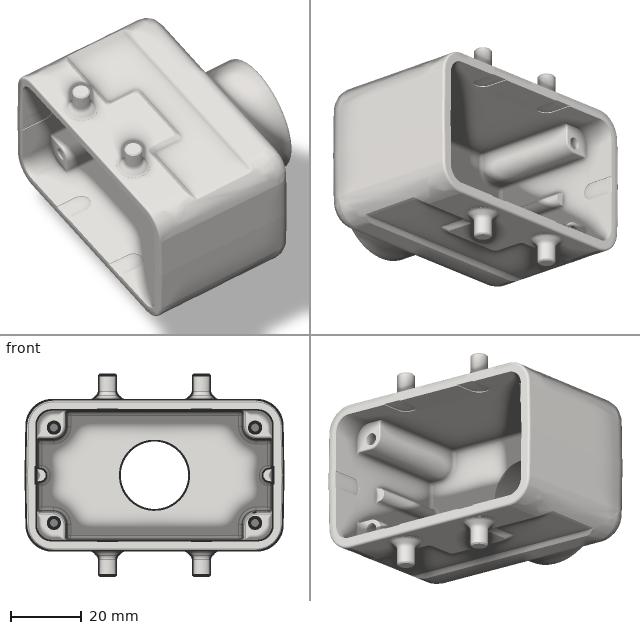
import cadquery as cq
import math


total_length = 58.0
body_length = 45.0
body_width = 73.0
side_crest_rise = 0.25
mouth_height = 42.7
back_height = 42.2
body_corner_radius = 7.5
back_edge_radius = 4.7
mouth_edge_radius = 0.6

hub_diameter = 34.0
hub_bore_diameter = 19.5
hub_end_radius = 1.0
hub_root_radius = 0.8

mouth_cavity_half_width = 33.45
mouth_cavity_half_height = 18.45
mouth_cavity_corner_radius = 4.5
post_face_y = 9.5
floor_y = 42.0
floor_cavity_half_width = 32.8
floor_cavity_half_height = 17.9
floor_radius = 1.0
wall_joint_radius = 0.8
floor_overlap = 1.0

post_arc_x = 28.65
post_arc_z = 13.9
post_face_radius = 3.4
post_root_radius = 4.0
post_edge_radius = 0.4
screw_x = 28.4
screw_z = 13.45
screw_mouth_diameter = 3.5
screw_end_diameter = 2.7
screw_depth = 10.0

rib_face_y = 18.0
rib_radius = 1.9
rib_tip_x = 30.5

panel_floor_z = 20.1
panel_flat_half_width = 31.8
panel_lip_half_width = 33.05
panel_lip_z = 19.95
panel_back_floor_y = 33.4
panel_front_floor_y = 14.6
tongue_half_width = 11.65
tongue_end_floor_y = 24.6
panel_slope_run = 1.75
panel_corner_radius = 1.3

pin_x = 13.25
pin_y = 6.3
pin_tip_z = 28.5
pin_radius = 2.5
pin_tip_chamfer = 0.4
collar_base_radius = 4.7
collar_wall_blend_radius = 1.15
collar_pin_blend_radius = 1.6
pin_root_z = 20.5

pin_slot_width = 5.6
pin_slot_depth = 0.2
side_slot_width = 4.9
side_slot_end_y = 10.4
side_slot_depth = 0.2

cut_clearance = 0.5
pick_margin = 0.1


def section_at(y):
    """Workplane across the part at depth y; its local axes are X and Z."""
    return cq.Workplane("XZ", origin=(0, y, 0))


def body_outline(y, height):
    """Rounded outline whose left and right sides peak slightly at Z = 0."""
    crest = body_width / 2
    side = crest - side_crest_rise
    half_height = height / 2
    corner_x = side - body_corner_radius
    corner_z = half_height - body_corner_radius
    diagonal = body_corner_radius * math.sqrt(0.5)
    mid_x = corner_x + diagonal
    mid_z = corner_z + diagonal
    return (
        section_at(y)
        .moveTo(crest, 0)
        .lineTo(side, corner_z)
        .threePointArc((mid_x, mid_z), (corner_x, half_height))
        .lineTo(-corner_x, half_height)
        .threePointArc((-mid_x, mid_z), (-side, corner_z))
        .lineTo(-crest, 0)
        .lineTo(-side, -corner_z)
        .threePointArc((-mid_x, -mid_z), (-corner_x, -half_height))
        .lineTo(corner_x, -half_height)
        .threePointArc((mid_x, -mid_z), (side, -corner_z))
        .close()
        .wire()
        .val()
    )


def ruled_loft(first_wire, last_wire):
    return cq.Workplane(cq.Solid.makeLoft([first_wire, last_wire], True))


def rectangle_wire(y, half_width, half_height):
    return section_at(y).rect(2 * half_width, 2 * half_height).wire().val()


def mirror_four_ways(solid):
    """The solid and its mirror images in X and in Z."""
    pair = solid.union(solid.mirror("YZ"))
    return pair.union(pair.mirror("XY"))


def make_body():
    body = ruled_loft(body_outline(0, mouth_height), body_outline(body_length, back_height))
    body = body.faces(">Y").edges().fillet(back_edge_radius)
    return body.faces("<Y").edges().fillet(mouth_edge_radius)


def add_hub(body):
    """Cylinder on the back wall with a rounded end and a filleted root."""
    hub = section_at(floor_y).circle(hub_diameter / 2).extrude(floor_y - total_length)
    hub = hub.faces(">Y").edges().fillet(hub_end_radius)
    reach = hub_diameter / 2 + pick_margin
    root_edges = cq.selectors.BoxSelector(
        (-reach, body_length - pick_margin, -reach),
        (reach, body_length + pick_margin, reach),
        boundingbox=True,
    )
    return body.union(hub).edges(root_edges).fillet(hub_root_radius)


def panel_outline(z):
    """Outline of the recess at height z; the walls lean outward going up."""
    lean = panel_slope_run / (mouth_height / 2 - panel_floor_z)
    grow = (z - panel_floor_z) * lean
    side = body_width / 2 + panel_slope_run
    back = panel_back_floor_y + grow
    front = panel_front_floor_y - grow
    tongue_side = tongue_half_width - grow
    tongue_end = tongue_end_floor_y - grow
    outline = cq.Sketch().polygon([
        (-side, back),
        (side, back),
        (side, front),
        (tongue_side, front),
        (tongue_side, tongue_end),
        (-tongue_side, tongue_end),
        (-tongue_side, front),
        (-side, front),
        (-side, back),
    ])
    tongue_corners = cq.selectors.BoxSelector(
        (-side / 2, 0, -pick_margin),
        (side / 2, body_length, pick_margin),
    )
    outline = outline.vertices(tongue_corners).fillet(panel_corner_radius)
    return outline.moved(cq.Location(cq.Vector(0, 0, z)))


def make_panel_cut():
    """Recess whose floor dips along a narrow lip at both ends."""
    bottom_z = panel_lip_z - cut_clearance
    top_z = mouth_height / 2 + cut_clearance
    recess = (
        cq.Workplane("XY")
        .placeSketch(panel_outline(bottom_z), panel_outline(top_z))
        .loft(ruled=True)
    )
    side = body_width / 2 + panel_slope_run
    above_floor = (
        section_at(0)
        .moveTo(-side, top_z)
        .lineTo(-side, panel_lip_z)
        .lineTo(-panel_lip_half_width, panel_lip_z)
        .lineTo(-panel_flat_half_width, panel_floor_z)
        .lineTo(panel_flat_half_width, panel_floor_z)
        .lineTo(panel_lip_half_width, panel_lip_z)
        .lineTo(side, panel_lip_z)
        .lineTo(side, top_z)
        .close()
        .extrude(-body_length)
    )
    cut = recess.intersect(above_floor)
    return cut.union(cut.mirror("XY"))


def post_outline(y, radius):
    """Corner block with one rounded corner, running out past the cavity walls."""
    outer_x = mouth_cavity_half_width + post_root_radius
    outer_z = mouth_cavity_half_height + post_root_radius
    diagonal = radius * math.sqrt(0.5)
    return (
        section_at(y)
        .moveTo(outer_x, outer_z)
        .lineTo(post_arc_x - radius, outer_z)
        .lineTo(post_arc_x - radius, post_arc_z)
        .threePointArc(
            (post_arc_x - diagonal, post_arc_z - diagonal),
            (post_arc_x, post_arc_z - radius),
        )
        .lineTo(outer_x, post_arc_z - radius)
        .close()
        .wire()
        .val()
    )


def make_posts():
    back_y = floor_y + floor_overlap
    post = ruled_loft(
        post_outline(post_face_y, post_face_radius),
        post_outline(back_y, post_root_radius),
    )
    return mirror_four_ways(post)


def make_ribs():
    axis_x = rib_tip_x + rib_radius
    rib = section_at(rib_face_y).center(axis_x, 0).circle(rib_radius)
    rib = rib.extrude(rib_face_y - floor_y - floor_overlap)
    return rib.union(rib.mirror("YZ"))


def lengthwise_edges(x_range, z_range, first_y):
    """Selects edges centred in the given ranges, between first_y and the floor."""
    return cq.selectors.BoxSelector(
        (x_range[0], first_y, z_range[0]),
        (x_range[1], floor_y - pick_margin, z_range[1]),
    )


def short_wall_joint_edges(reach_z, first_y):
    """Selects the edges on both short walls that lie within reach_z of mid height."""
    near = floor_cavity_half_width - pick_margin
    far = mouth_cavity_half_width + pick_margin
    right = lengthwise_edges((near, far), (-reach_z, reach_z), first_y)
    left = lengthwise_edges((-far, -near), (-reach_z, reach_z), first_y)
    return right + left


def long_wall_joint_edges(first_y):
    """Selects the edges where the posts meet the two long walls."""
    reach_x = post_arc_x
    near = floor_cavity_half_height - pick_margin
    far = mouth_cavity_half_height + pick_margin
    upper = lengthwise_edges((-reach_x, reach_x), (near, far), first_y)
    lower = lengthwise_edges((-reach_x, reach_x), (-far, -near), first_y)
    return upper + lower


def round_post_fronts(cavity):
    """Rounds the front edges of the four posts."""
    inner_x = post_arc_x - post_root_radius
    inner_z = post_arc_z - post_root_radius
    outer_x = mouth_cavity_half_width - pick_margin
    outer_z = mouth_cavity_half_height - pick_margin
    for x_range in ((-outer_x, -inner_x), (inner_x, outer_x)):
        for z_range in ((-outer_z, -inner_z), (inner_z, outer_z)):
            front_edges = cq.selectors.BoxSelector(
                (x_range[0], post_face_y - pick_margin, z_range[0]),
                (x_range[1], post_face_y + pick_margin, z_range[1]),
                boundingbox=True,
            )
            cavity = cavity.edges(front_edges).fillet(post_edge_radius)
    return cavity


def make_cavity():
    """Solid that fills the inside of the hood."""
    mouth = (
        section_at(0)
        .rect(2 * mouth_cavity_half_width, 2 * mouth_cavity_half_height)
        .extrude(-post_face_y)
        .edges("|Y")
        .fillet(mouth_cavity_corner_radius)
    )
    deep = ruled_loft(
        rectangle_wire(post_face_y, mouth_cavity_half_width, mouth_cavity_half_height),
        rectangle_wire(floor_y, floor_cavity_half_width, floor_cavity_half_height),
    )
    deep = deep.cut(make_posts())
    post_joints = (
        short_wall_joint_edges(post_arc_z, post_face_y + pick_margin)
        + long_wall_joint_edges(post_face_y + pick_margin)
    )
    deep = deep.edges(post_joints).fillet(wall_joint_radius)
    deep = deep.cut(make_ribs())
    rib_joints = short_wall_joint_edges(rib_radius + pick_margin, rib_face_y + pick_margin)
    deep = deep.edges(rib_joints).fillet(wall_joint_radius)
    deep = deep.faces(">Y").edges().fillet(floor_radius)
    return round_post_fronts(mouth.union(deep))


def make_screw_holes():
    hole = cq.Workplane(
        cq.Solid.makeCone(
            screw_mouth_diameter / 2,
            screw_end_diameter / 2,
            screw_depth,
            pnt=cq.Vector(screw_x, post_face_y, screw_z),
            dir=cq.Vector(0, 1, 0),
        )
    )
    return mirror_four_ways(hole)


def make_pins():
    """Locking pins, each on a flared collar, on the +Z and -Z faces."""
    wall_z = mouth_height / 2
    cos_45 = math.sqrt(0.5)
    cone_base_radius = collar_base_radius - cos_45 * collar_wall_blend_radius
    cone_base_z = wall_z + (1 - cos_45) * collar_wall_blend_radius
    cone_top_radius = pin_radius + (1 - cos_45) * collar_pin_blend_radius
    cone_top_z = cone_base_z + cone_base_radius - cone_top_radius
    collar_top_z = cone_top_z + cos_45 * collar_pin_blend_radius
    half_profile = (
        cq.Workplane("XZ", origin=(pin_x, pin_y, 0))
        .moveTo(0, pin_root_z)
        .lineTo(collar_base_radius, pin_root_z)
        .lineTo(collar_base_radius, wall_z)
        .radiusArc((cone_base_radius, cone_base_z), collar_wall_blend_radius)
        .lineTo(cone_top_radius, cone_top_z)
        .radiusArc((pin_radius, collar_top_z), collar_pin_blend_radius)
        .lineTo(pin_radius, pin_tip_z - pin_tip_chamfer)
        .lineTo(pin_radius - pin_tip_chamfer, pin_tip_z)
        .lineTo(0, pin_tip_z)
        .close()
    )
    pin = half_profile.revolve(360, (0, 0, 0), (0, 1, 0))
    return mirror_four_ways(pin)


def slot_block(level, width, end_y, thickness):
    """Block that starts at the mouth and has a round end at end_y."""
    half = width / 2
    shoulder_y = end_y - half
    return (
        level
        .moveTo(-half, 0)
        .lineTo(-half, shoulder_y)
        .threePointArc((0, end_y), (half, shoulder_y))
        .lineTo(half, 0)
        .close()
        .extrude(thickness)
    )


def make_pin_slots():
    """Slots in the long walls, one below each pin."""
    start_z = mouth_cavity_half_height - pin_slot_depth
    level = cq.Workplane("XY", origin=(pin_x, 0, start_z))
    end_y = pin_y + pin_slot_width / 2
    return mirror_four_ways(slot_block(level, pin_slot_width, end_y, 2 * pin_slot_depth))


def make_side_slots():
    """Slots in the middle of the two short walls."""
    start_x = mouth_cavity_half_width - side_slot_depth
    plane = cq.Plane(origin=(start_x, 0, 0), xDir=(0, 0, -1), normal=(1, 0, 0))
    slot = slot_block(cq.Workplane(plane), side_slot_width, side_slot_end_y, 2 * side_slot_depth)
    return slot.union(slot.mirror("YZ"))


hood = add_hub(make_body())
hood = hood.cut(make_panel_cut())
hood = hood.union(make_pins())
hood = hood.cut(make_cavity())
hood = hood.cut(make_screw_holes())
hood = hood.cut(make_pin_slots()).cut(make_side_slots())
hub_bore = section_at(0).circle(hub_bore_diameter / 2).extrude(-total_length)
result = hood.cut(hub_bore)